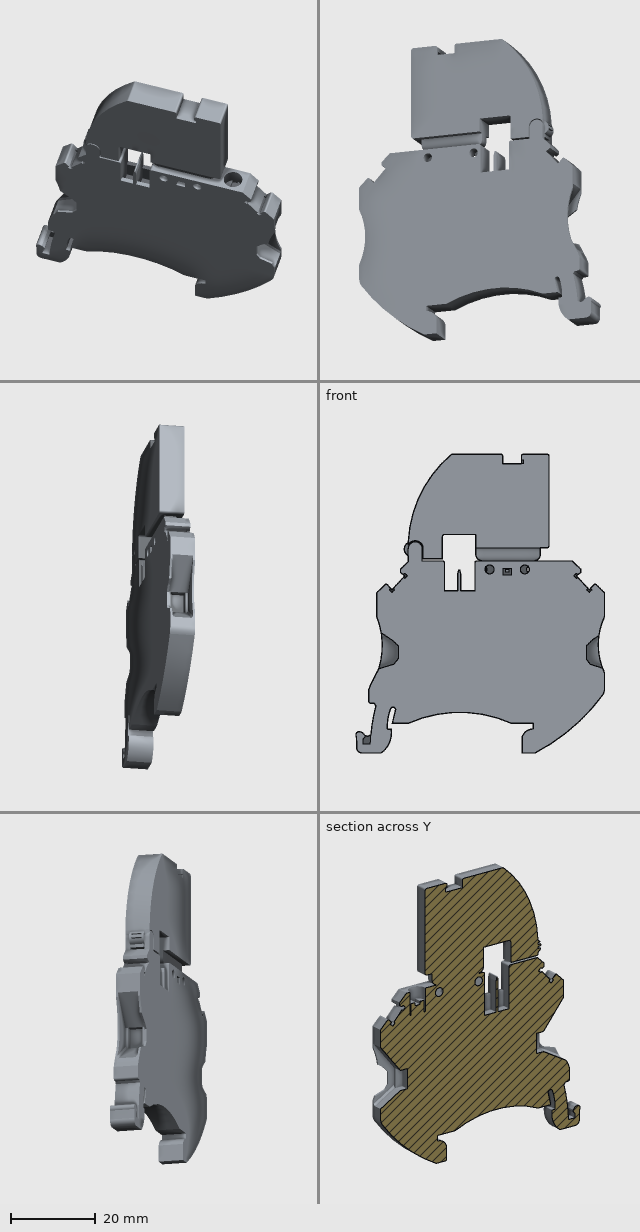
import cadquery as cq
import math


total_length = 58.85
total_height = 70.68
thickness = 6.0

body_left = 4.9
body_right = total_length
body_top = 45.45
body_bottom = 7.0
shoulder_bottom = 37.85
waist_top = 32.3

right_waist_middle = (57.35, 25.6)
right_waist_bottom = 18.9
hook_back_top = 15.4
hook_shoulder_middle = (58.7, 14.4)
hook_shoulder_end = (58.3, 13.6)
hook_back_middle = (51.8, 6.5)
hook_back_foot = 42.4
hook_tip = 39.35
hook_nose_bottom = 3.9
hook_nose_middle = (40.2, 5.1)
hook_nose_top = 5.7
hook_root = 41.9

arch_right = 36.8
arch_middle = (24.6, 9.6)
arch_left = 12.4

spring_gap_right = 8.6
spring_gap_root = (9.4, 10.3)
spring_gap_top = (8.95, 10.8)
spring_gap_left = (8.3, 10.6)
spring_middle = (7.6, 8.0)
spring_inner = 7.5
clip_catch = 8.4
clip_catch_z = 5.65
clip_heel_middle = (7.7, 1.9)
clip_sole_right = 6.0
clip_sole_left = 1.5
clip_toe_corner = (0.5, 0.45)
clip_toe_front = (0.2, 1.6)
toe_radius = 0.85
toe_z = 4.25
toe_start = math.radians(35)
toe_inner_top = (1.5, 4.9)
toe_inner_bottom = (2.15, 4.2)
clip_throat = (2.8, 3.95)
spring_outer_bottom = (3.55, 4.3)
spring_outer_middle = (4.0, 7.8)
spring_outer_top = (4.75, 11.2)

ledge_left = 3.05
ledge_right = 4.3
ledge_bottom = 11.75
ledge_top = 15.0
ledge_radius = 0.5
ledge_slope_top = (3.5, 16.2)
left_waist_bottom = (5.4, 19.9)
left_waist_middle = (6.2, 26.5)

tooth_tip = (2.3, 40.1)
lower_notch = (3.65, 38.6)
upper_notch = (6.7, 41.9)
nib_bottom = (5.65, 42.65)
nib_top = (5.65, 43.45)
shoulder_end = (7.7, body_top)
tooth_radius = 0.4

notch_groove_size = 0.85
notch_groove_turn = 45
notch_web = 0.7

post_left = 12.4
post_radius = 1.65
post_x = post_left + post_radius
post_z = 48.3
cheek_thickness = 1.2
post_root = 0.4
post_clearance = 0.25
tongue_radius = 1.75
tongue_x = 13.2
tongue_z = 48.2
grip_heights = (47.9, 48.9)
grip_width = 0.4
grip_margin = 0.5

slot_left = 21.0
slot_right = 28.15
slot_floor = 38.4
slot_corner = 0.5
slot_wall = 1.0
well_floor = 34.4
blade_x = 24.45
blade_width = 0.75
blade_shoulder = 42.3
blade_tip = 43.3
blade_tip_width = 0.3
blade_root = 0.1

hole_diameter = 2.1
hole_z = 43.4
hole_spacing = 8.3
window_x = 35.8
window_width = 2.1
window_height = 1.6
window_z = 42.85
window_depth = 2.0
front_hole_depth = 3.0
left_rear_hole_offset = -1.75
right_rear_hole_offset = 1.55
step_width = 0.8
step_height = 0.5

screw_x = 47.85
screw_y = 3.0
screw_bore = 4.4
screw_diameter = 4.0
screw_head_drop = 3.0
screw_bore_depth = 6.0
screw_slot_width = 1.3
screw_slot_depth = 0.8

entry_wall = 0.5
entry_mouth_top = 33.4
entry_mouth_bottom = 16.6
entry_floor = 21.1
entry_ceiling = 26.1
entry_depth = 5.9
entry_overrun = 2.0
entry_chamfer = 0.4
wire_hole_wall = 1.2
wire_hole_depth = 2.0

left_window = [
    (3.0, 30.5), (5.9, 28.5), (8.7, 26.6), (10.1, 25.3),
    (10.1, 22.4), (9.0, 21.0), (5.4, 19.9), (3.0, 19.1),
]
right_window = [
    (60.5, 29.2), (57.4, 27.7), (56.0, 26.8), (54.6, 25.4),
    (54.6, 22.1), (55.4, 21.0), (58.2, 20.1), (60.5, 19.3),
]

clip_wall = 0.85
clip_pocket = [(1.65, 2.1), (3.4, 2.1), (3.55, 5.0), (2.15, 5.0), (2.15, 3.8), (1.65, 3.2)]

plug_left = post_left
plug_right = 45.7
plug_bottom = 48.5
plug_leg_bottom = 45.9
plug_top_left = 22.7
plug_slot_left = 20.5
plug_slot_right = 28.35
plug_slot_top = 51.65
plug_arc_end = 50.1
plug_arc_middle = (16.0, 62.6)
plug_corner = 0.5
top_notch_left = 34.75
top_notch_right = 39.15
top_notch_floor = 68.4
undercut_length = 0.45
undercut_height = 0.9
undercut_wall = 0.6
pedestal_right = 43.65
pedestal_radius = 1.5
pedestal_inset = 1.6


def sketch(y):
    """Work plane at depth y, with X to the right and Z up."""
    return cq.Workplane("XZ", origin=(0, y, 0))


def prism(outline, y_start, y_end):
    """Solid with the closed outline as its side face, between two depths."""
    return outline(sketch(y_start)).extrude(y_start - y_end)


def block(x_start, x_end, y_start, y_end, z_start, z_end):
    return cq.Workplane("XY").box(
        x_end - x_start, y_end - y_start, z_end - z_start, centered=False
    ).translate((x_start, y_start, z_start))


def disc(x, z, radius, y_start, y_end):
    return sketch(y_start).center(x, z).circle(radius).extrude(y_start - y_end)


def round_corners(solid, corners, radius):
    """Round the edges along Y that pass through the given X, Z corners."""
    for x, z in corners:
        edge = cq.selectors.NearestToPointSelector((x, thickness / 2, z))
        solid = solid.edges("|Y").edges(edge).fillet(radius)
    return solid


def on_left(point):
    return (body_left + point[0], point[1])


def on_right(point):
    return (body_right - point[0], point[1])


def body_outline(plane):
    shoulder = [tooth_tip, lower_notch, upper_notch, nib_bottom, nib_top, shoulder_end]
    outline = plane.moveTo(body_left, shoulder_bottom)
    for point in shoulder:
        outline = outline.lineTo(*on_left(point))
    for point in reversed(shoulder):
        outline = outline.lineTo(*on_right(point))
    return (
        outline.lineTo(body_right, shoulder_bottom)
        .lineTo(body_right, waist_top)
        .threePointArc(right_waist_middle, (body_right, right_waist_bottom))
        .lineTo(body_right, hook_back_top)
        .threePointArc(hook_shoulder_middle, hook_shoulder_end)
        .threePointArc(hook_back_middle, (hook_back_foot, 0))
        .lineTo(hook_tip, 0)
        .lineTo(hook_tip, hook_nose_bottom)
        .threePointArc(hook_nose_middle, (hook_root, hook_nose_top))
        .lineTo(hook_root, body_bottom)
        .lineTo(arch_right, body_bottom)
        .threePointArc(arch_middle, (arch_left, body_bottom))
        .lineTo(spring_gap_right, body_bottom)
        .lineTo(*spring_gap_root)
        .threePointArc(spring_gap_top, spring_gap_left)
        .threePointArc(spring_middle, (spring_inner, clip_catch_z))
        .lineTo(clip_catch, clip_catch_z)
        .threePointArc(clip_heel_middle, (clip_sole_right, 0))
        .lineTo(clip_sole_left, 0)
        .threePointArc(clip_toe_corner, clip_toe_front)
        .lineTo(toe_radius * (1 - math.cos(toe_start)), toe_z - toe_radius * math.sin(toe_start))
        .threePointArc((0, toe_z), (toe_radius, toe_z + toe_radius))
        .lineTo(*toe_inner_top)
        .lineTo(*toe_inner_bottom)
        .lineTo(*clip_throat)
        .lineTo(*spring_outer_bottom)
        .threePointArc(spring_outer_middle, spring_outer_top)
        .lineTo(ledge_right, ledge_bottom)
        .lineTo(ledge_left, ledge_bottom)
        .lineTo(ledge_left, ledge_top)
        .lineTo(*ledge_slope_top)
        .lineTo(*left_waist_bottom)
        .threePointArc(left_waist_middle, (body_left, waist_top))
        .close()
    )


def post_outline(clearance):
    """Round-topped upright that starts at the body top."""
    radius = post_radius + clearance
    foot_z = body_top - post_root

    def outline(plane):
        return (
            plane.moveTo(post_x - radius, foot_z)
            .lineTo(post_x - radius, post_z)
            .threePointArc((post_x, post_z + radius), (post_x + radius, post_z))
            .lineTo(post_x + radius, foot_z)
            .close()
        )

    return outline


def blade_outline(plane):
    half = blade_width / 2
    half_tip = blade_tip_width / 2
    return plane.polyline([
        (blade_x - half, well_floor - blade_root),
        (blade_x - half, blade_shoulder),
        (blade_x - half_tip, blade_tip),
        (blade_x + half_tip, blade_tip),
        (blade_x + half, blade_shoulder),
        (blade_x + half, well_floor - blade_root),
    ]).close()


def polygon(points):
    """Outline through the given X, Z points."""

    def outline(plane):
        return plane.polyline(points).close()

    return outline


def notch_grooves():
    """Square grooves at the roots of the four shoulder notches."""
    grooves = []
    for side in (on_left, on_right):
        for notch in (lower_notch, upper_notch):
            x, z = side(notch)
            grooves.append(
                sketch(0).center(x, z).transformed(rotate=(0, 0, notch_groove_turn))
                .rect(notch_groove_size, notch_groove_size).extrude(notch_web - thickness)
            )
    return grooves


def marker_holes():
    """Two stepped test holes and the square window between them."""
    holes = []
    for side, rear_offset in ((-1, left_rear_hole_offset), (1, right_rear_hole_offset)):
        front_x = window_x + side * hole_spacing / 2
        rear_x = front_x + rear_offset
        holes.append(disc(front_x, hole_z, hole_diameter / 2, 0, front_hole_depth))
        holes.append(disc(rear_x, hole_z, hole_diameter / 2, front_hole_depth, thickness))
    return holes


def marker_window():
    """Square window with a small block standing in its upper half."""
    window = block(
        window_x - window_width / 2, window_x + window_width / 2, 0, window_depth,
        window_z - window_height / 2, window_z + window_height / 2,
    )
    step = block(
        window_x - step_width / 2, window_x + step_width / 2, window_depth / 2, window_depth,
        window_z, window_z + step_height,
    )
    return window.cut(step)


def screw_bore_cutter():
    bore = cq.Workplane("XY", origin=(screw_x, screw_y, body_top - screw_bore_depth))
    return bore.circle(screw_bore / 2).extrude(screw_bore_depth)


def screw():
    """Slotted screw head sunk in its bore."""
    bottom = body_top - screw_bore_depth
    top = body_top - screw_head_drop
    plane = cq.Workplane("XY", origin=(screw_x, screw_y, bottom))
    head = plane.circle(screw_diameter / 2).extrude(top - bottom)
    slot = block(
        screw_x - screw_slot_width / 2, screw_x + screw_slot_width / 2,
        screw_y - screw_diameter / 2, screw_y + screw_diameter / 2,
        top - screw_slot_depth, top,
    )
    return head.cut(slot)


def wire_entry(side):
    """Funnel that narrows inwards from one side, between two thin walls."""
    profile = [
        (-entry_overrun, entry_mouth_bottom), (entry_depth, entry_floor),
        (entry_depth, entry_ceiling), (0, entry_mouth_top), (-entry_overrun, entry_mouth_top),
    ]
    funnel = prism(polygon([side(point) for point in profile]), entry_wall, thickness - entry_wall)
    floor_middle = ((entry_depth - entry_overrun) / 2, (entry_mouth_bottom + entry_floor) / 2)
    floor_x, floor_middle_z = side(floor_middle)
    for y in (entry_wall, thickness - entry_wall):
        floor_edge = cq.selectors.NearestToPointSelector((floor_x, y, floor_middle_z))
        funnel = funnel.edges(floor_edge).chamfer(entry_chamfer)
    inner_x, floor_z = side((entry_depth, entry_floor))
    end_x, ceiling_z = side((entry_depth + wire_hole_depth, entry_ceiling))
    wire_hole = block(
        min(inner_x, end_x), max(inner_x, end_x),
        wire_hole_wall, thickness - wire_hole_wall,
        floor_z, ceiling_z,
    )
    return funnel.union(wire_hole)


def make_body():
    body = prism(body_outline, 0, thickness)
    slot = block(slot_left, slot_right, 0, thickness, slot_floor, body_top)
    body = body.cut(slot)
    body = round_corners(body, [on_left(tooth_tip), on_right(tooth_tip)], tooth_radius)
    body = round_corners(body, [(ledge_left, ledge_bottom)], ledge_radius)
    body = round_corners(body, [(slot_left, body_top), (slot_right, body_top)], slot_corner)
    well = block(slot_left, slot_right, slot_wall, thickness - slot_wall, well_floor, slot_floor)
    body = body.cut(well)
    body = body.union(prism(blade_outline, 0, thickness))
    for y_start in (0, thickness - cheek_thickness):
        body = body.union(prism(post_outline(0), y_start, y_start + cheek_thickness))
    for cutter in notch_grooves() + marker_holes() + [marker_window()]:
        body = body.cut(cutter)
    body = body.cut(screw_bore_cutter()).union(screw())
    for window in (left_window, right_window):
        body = body.cut(prism(polygon(window), 0, 2 * entry_wall))
    for side in (on_left, on_right):
        body = body.cut(wire_entry(side))
    body = body.cut(prism(polygon(clip_pocket), 0, thickness - clip_wall))
    return body


def plug_outline(plane):
    return (
        plane.moveTo(plug_left, plug_leg_bottom)
        .lineTo(plug_left, plug_arc_end)
        .threePointArc(plug_arc_middle, (plug_top_left, total_height))
        .lineTo(top_notch_left, total_height)
        .lineTo(top_notch_left, top_notch_floor)
        .lineTo(top_notch_right, top_notch_floor)
        .lineTo(top_notch_right, total_height)
        .lineTo(plug_right, total_height)
        .lineTo(plug_right, plug_bottom)
        .lineTo(plug_slot_right, plug_bottom)
        .lineTo(plug_slot_right, plug_slot_top)
        .lineTo(plug_slot_left, plug_slot_top)
        .lineTo(plug_slot_left, plug_leg_bottom)
        .close()
    )


def make_pedestal():
    """Neck joining the plug to the body, with rounded lower corners."""
    pedestal = block(
        plug_slot_right, pedestal_right, pedestal_inset, thickness - pedestal_inset, body_top, plug_bottom
    )
    return pedestal.faces("<Z").edges("|Y").fillet(pedestal_radius)


def make_tongue():
    """Round hinge tongue with grip grooves across its outer side."""
    y_start = cheek_thickness
    y_end = thickness - cheek_thickness
    tongue = disc(tongue_x, tongue_z, tongue_radius, y_start, y_end)
    for z in grip_heights:
        groove = block(
            tongue_x - tongue_radius, post_left, y_start + grip_margin, y_end - grip_margin,
            z - grip_width / 2, z + grip_width / 2,
        )
        tongue = tongue.cut(groove)
    return tongue


def make_plug():
    plug = prism(plug_outline, 0, thickness)
    corners = [
        (top_notch_left, total_height),
        (top_notch_right, total_height),
        (plug_right, total_height),
        (plug_right, plug_bottom),
        (plug_slot_left, plug_slot_top),
    ]
    plug = round_corners(plug, corners, plug_corner)
    for y_start in (0, thickness - cheek_thickness):
        clearance = prism(post_outline(post_clearance), y_start, y_start + cheek_thickness + post_clearance)
        plug = plug.cut(clearance)
    plug = plug.union(make_tongue())
    undercut = block(
        top_notch_right, top_notch_right + undercut_length, 0, thickness - undercut_wall,
        top_notch_floor, top_notch_floor + undercut_height,
    )
    plug = plug.cut(undercut)
    plug = round_corners(plug, [(plug_top_left, total_height)], plug_corner)
    return plug.union(make_pedestal())


result = make_body().union(make_plug())